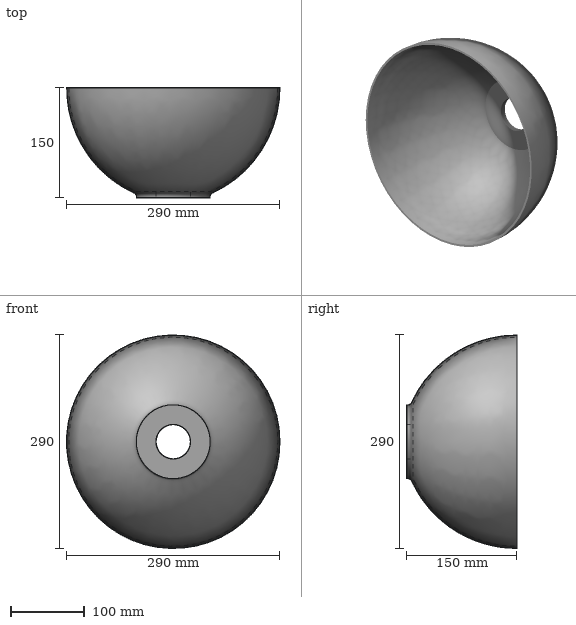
import cadquery as cq
import math

rim_radius = 145.0
total_depth = 150.0
rim_y = total_depth / 2
foot_y = -total_depth / 2

wall = 3.0
foot_radius = 50.2
foot_height = 2.0
neck_radius = 52.8
neck_height = 6.5
floor_thickness = 8.5
hole_radius = 23.2

neck_y = foot_y + neck_height
arc_depth = rim_y - neck_y
radial_drop = rim_radius - neck_radius
bowl_radius = (arc_depth ** 2 + radial_drop ** 2) / (2 * radial_drop)
arc_center_x = rim_radius - bowl_radius


def bowl_point(radius, angle):
    """Point on the bowl arc, with angle measured from the rim plane."""
    return (arc_center_x + radius * math.cos(angle), rim_y - radius * math.sin(angle))


inner_radius = bowl_radius - wall
floor_y = foot_y + floor_thickness
outer_angle = math.asin(arc_depth / bowl_radius)
inner_angle = math.asin((rim_y - floor_y) / inner_radius)

profile = (
    cq.Workplane("XY")
    .moveTo(hole_radius, foot_y)
    .lineTo(foot_radius, foot_y)
    .lineTo(foot_radius, foot_y + foot_height)
    .tangentArcPoint((neck_radius, neck_y), relative=False)
    .threePointArc(bowl_point(bowl_radius, outer_angle / 2), (rim_radius, rim_y))
    .lineTo(rim_radius - wall, rim_y)
    .threePointArc(bowl_point(inner_radius, inner_angle / 2), bowl_point(inner_radius, inner_angle))
    .lineTo(hole_radius, floor_y)
    .close()
)

result = profile.revolve(360, (0, 0, 0), (0, 1, 0))